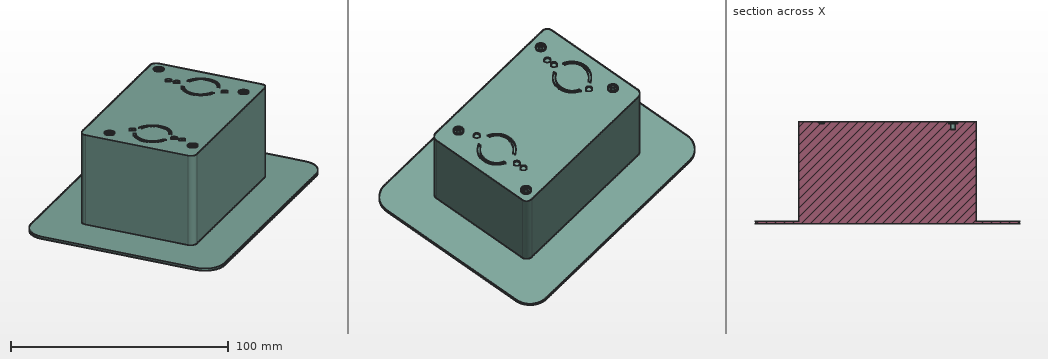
import cadquery as cq

plate_width = 97.8
plate_length = 121.5
plate_thickness = 1.2
plate_corner_radius = 10.0

total_height = 47.0
box_width = 57.8
box_length = 81.8
box_corner_radius = 3.0

recess_depth = 1.0
dimple_diameter = 3.0
upper_row_y = 26.7
lower_row_y = -26.7
upper_dimples_x = (-14.6, -10.6, 13.6)
lower_dimples_x = (-8.6, 12.5, 16.5)

ring_center_x = 1.6
ring_outer_radius = 8.9
ring_inner_radius = 7.7
ring_gap = 6.3

seat_diameter = 3.9
seat_depth = 1.0
seat_chamfer = 0.5
screw_hole_diameter = 2.0
screw_hole_depth = 3.6
screw_positions = [(-23.6, 35.5), (21.7, 30.1), (23.5, -30.3), (-16.8, -34.1)]


def rounded_block(width, length, height, corner_radius):
    """Upright block with rounded vertical edges, its bottom on Z = 0."""
    block = cq.Workplane("XY").box(width, length, height, centered=(True, True, False))
    return block.edges("|Z").fillet(corner_radius)


def dimples(x_positions, row_y):
    """Round recesses along one row."""
    return (
        cq.Workplane("XY", origin=(0, 0, total_height))
        .pushPoints([(x, row_y) for x in x_positions])
        .circle(dimple_diameter / 2)
        .extrude(-recess_depth)
    )


def broken_ring(row_y):
    """Ring groove interrupted by a straight gap on its left and right."""
    top = cq.Workplane("XY", origin=(ring_center_x, row_y, total_height))
    ring = top.circle(ring_outer_radius).circle(ring_inner_radius).extrude(-recess_depth)
    gap = top.rect(2 * ring_outer_radius, ring_gap).extrude(-recess_depth)
    return ring.cut(gap)


def screw_holes():
    """Stepped blind holes at the screw positions."""
    top = cq.Workplane("XY", origin=(0, 0, total_height)).pushPoints(screw_positions)
    holes = top.circle(screw_hole_diameter / 2).extrude(-screw_hole_depth)
    seats = top.circle(seat_diameter / 2).extrude(-seat_depth)
    chamfers = top.circle(seat_diameter / 2 + seat_chamfer).extrude(-seat_chamfer, taper=45)
    return holes.union(seats).union(chamfers)


plate = rounded_block(plate_width, plate_length, plate_thickness, plate_corner_radius)
box = rounded_block(box_width, box_length, total_height, box_corner_radius)

result = plate.union(box).cut(screw_holes())
for dimples_x, row_y in ((upper_dimples_x, upper_row_y), (lower_dimples_x, lower_row_y)):
    result = result.cut(dimples(dimples_x, row_y)).cut(broken_ring(row_y))